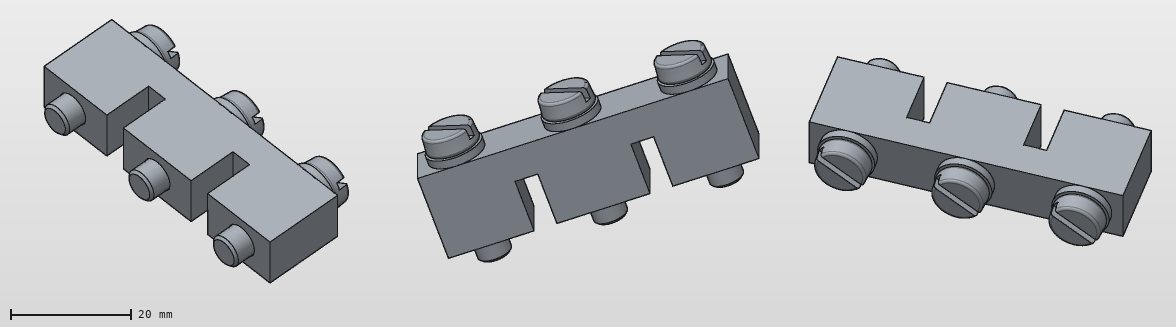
import cadquery as cq
import math

bar_length = 54.7
bar_depth = 15.45
bar_height = 10.0
bar_hole_diameter = 6.2
notch_width = 4.0
notch_depth = 9.55
left_land_width = 15.2
middle_land_width = 16.4

screw_count = 3
screw_inset = 6.95
screw_pitch = 20.43

shank_diameter = 6.0
shank_overhang = 4.05
tip_chamfer = 0.5
head_height = 3.5
head_base_diameter = 9.5
head_taper = math.radians(5)
head_round = 0.5
driver_slot_width = 1.3
driver_slot_depth = 2.0
driver_slot_angle = 33.3

washer_diameter = 10.0
washer_thickness = 1.5

washer_seat = bar_depth
head_seat = washer_seat + washer_thickness
head_top = head_seat + head_height

bar_left = -bar_length / 2
notch_pitch = notch_width + middle_land_width
screw_places = [bar_left + screw_inset + i * screw_pitch for i in range(screw_count)]
notch_starts = [bar_left + left_land_width + i * notch_pitch for i in range(screw_count - 1)]


def cylinder_along_y(diameter, start, length):
    """Cylinder on the Y axis, running from start towards +Y."""
    plane = cq.Plane(origin=(0, start, 0), xDir=(1, 0, 0), normal=(0, 1, 0))
    return cq.Workplane(plane).circle(diameter / 2).extrude(length)


def make_bar():
    """Bar with a front notch between neighbouring screws and a clearance hole for each screw."""
    bar = cq.Workplane("XY").box(bar_length, bar_depth, bar_height, centered=(True, False, True))
    notch = cq.Workplane("XY").box(notch_width, notch_depth, bar_height, centered=(False, False, True))
    for x in notch_starts:
        bar = bar.cut(notch.translate((x, 0, 0)))
    hole = cylinder_along_y(bar_hole_diameter, 0, bar_depth)
    for x in screw_places:
        bar = bar.cut(hole.translate((x, 0, 0)))
    return bar


def make_washer():
    """Plain ring that fits around the screw shank."""
    ring = cylinder_along_y(washer_diameter, washer_seat, washer_thickness)
    bore = cylinder_along_y(shank_diameter, washer_seat, washer_thickness)
    return ring.cut(bore)


def make_screw():
    """Screw with a chamfered tip and a tapered, rounded and slotted head."""
    shank = cylinder_along_y(shank_diameter, -shank_overhang, shank_overhang + head_seat)
    shank = shank.faces("<Y").chamfer(tip_chamfer)

    base_radius = head_base_diameter / 2
    top_radius = base_radius - head_height * math.tan(head_taper)
    head = (
        cq.Workplane("XY")
        .polyline([(0, head_seat), (base_radius, head_seat), (top_radius, head_top), (0, head_top)])
        .close()
        .revolve(360, (0, 0, 0), (0, 1, 0))
        .faces("<Y or >Y")
        .edges()
        .fillet(head_round)
    )

    driver_slot = (
        cq.Workplane("XY")
        .box(washer_diameter, driver_slot_depth, driver_slot_width)
        .rotate((0, 0, 0), (0, 1, 0), -driver_slot_angle)
        .translate((0, head_top - driver_slot_depth / 2, 0))
    )
    return shank.union(head).cut(driver_slot)


bar = make_bar()
washers = [make_washer().translate((x, 0, 0)) for x in screw_places]
screws = [make_screw().translate((x, 0, 0)) for x in screw_places]

result = cq.Compound.makeCompound(
    [bar.val()] + [washer.val() for washer in washers] + [screw.val() for screw in screws]
)